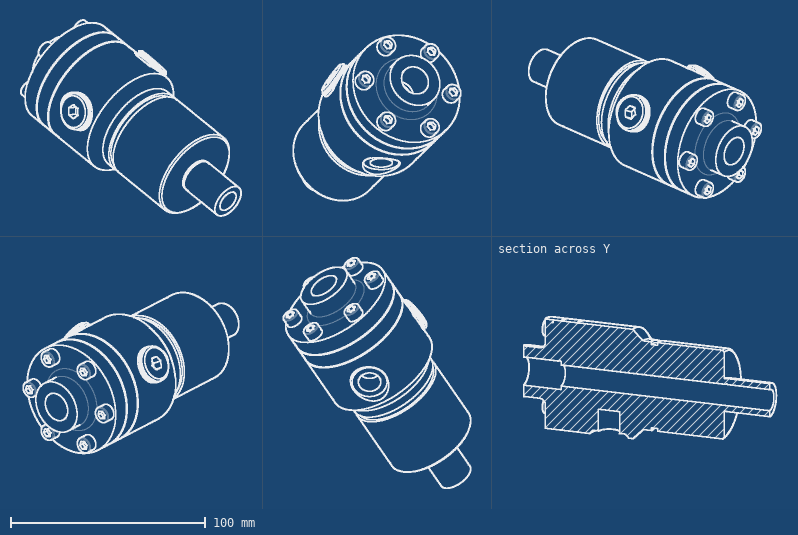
import cadquery as cq
import math

TOTAL_LENGTH = 136.6
HUB_SHOULDER_X = 8.9
FLANGE_X = 12.0
FIRST_SEAM_X = 20.9
SECOND_SEAM_X = 29.8
CONE_START_X = 60.7
CONE_END_X = 66.4
RING_GROOVE_START_X = 71.0
RING_GROOVE_END_X = 74.3
BODY_END_X = 111.3
NECK_LENGTH = 1.1

HUB_DIA = 27.5
HOUSING_DIA = 59.0
BARREL_DIA = 48.0
RING_GROOVE_DIA = 45.1
SHAFT_DIA = 18.0
NECK_DIA = 17.6
BARREL_CHAMFER = 1.0
SEAM_WIDTH = 0.4
SEAM_DEPTH = 0.1

INLET_DIA = 14.9
INLET_DEPTH = FIRST_SEAM_X
PASSAGE_DIA = 11.0

SCREW_COUNT = 6
SCREW_CIRCLE_RADIUS = 24.0
SCREW_HEAD_DIA = 8.5
SCREW_HEAD_HEIGHT = 4.9
SCREW_EDGE_RADIUS = 0.4
SCREW_SOCKET_FLATS = 4.1
SCREW_SOCKET_DEPTH = 2.5
SCREW_SOCKET_TURN = -15
SOCKET_DRILL_ANGLE = 118
FLAT_SOCKET_SCREWS = (0, 3)

PORT_X = 47.4
PORT_DIA = 11.5
PORT_DEPTH = 13.7
PORT_SEAT_OUTER_DIA = 22.0
PORT_SEAT_INNER_DIA = 18.0
PLUG_ELEVATIONS = (30, 150)
OPEN_PORT_ELEVATION = -90

PLUG_HEAD_DIA = 18.6
PLUG_WASHER_DIA = 19.0
PLUG_HEAD_TOP = 31.8
PLUG_CHAMFER = 1.1
PLUG_WAIST_DIA = 17.1
PLUG_WAIST_HEIGHT = 29.8
PLUG_WASHER_TOP = 29.2
PLUG_SOCKET_FLATS = 6.1
PLUG_SOCKET_DEPTH = 5.6

HOUSING_RADIUS = HOUSING_DIA / 2
BARREL_RADIUS = BARREL_DIA / 2
HUB_RADIUS = HUB_DIA / 2
PORT_SEAT_FLOOR = HOUSING_RADIUS - (PORT_SEAT_OUTER_DIA - PORT_SEAT_INNER_DIA) / 2


def hexagon_corner_diameter(across_flats):
    return across_flats / math.cos(math.radians(30))


def turned_body():
    """Hub, housing, barrel and shaft revolved about the X axis."""
    hub_fillet = FLANGE_X - HUB_SHOULDER_X
    arc_offset = hub_fillet * math.sin(math.radians(45))
    flare_radius = HUB_RADIUS + hub_fillet
    neck_end_x = BODY_END_X + NECK_LENGTH
    profile = (
        cq.Workplane("XY")
        .lineTo(0, HUB_RADIUS)
        .lineTo(HUB_SHOULDER_X, HUB_RADIUS)
        .threePointArc(
            (HUB_SHOULDER_X + arc_offset, flare_radius - arc_offset),
            (FLANGE_X, flare_radius),
        )
        .lineTo(FLANGE_X, HOUSING_RADIUS)
        .lineTo(CONE_START_X, HOUSING_RADIUS)
        .lineTo(CONE_END_X, BARREL_RADIUS)
        .lineTo(RING_GROOVE_START_X, BARREL_RADIUS)
        .lineTo(RING_GROOVE_START_X, RING_GROOVE_DIA / 2)
        .lineTo(RING_GROOVE_END_X, RING_GROOVE_DIA / 2)
        .lineTo(RING_GROOVE_END_X, BARREL_RADIUS)
        .lineTo(BODY_END_X - BARREL_CHAMFER, BARREL_RADIUS)
        .lineTo(BODY_END_X, BARREL_RADIUS - BARREL_CHAMFER)
        .lineTo(BODY_END_X, NECK_DIA / 2)
        .lineTo(neck_end_x, NECK_DIA / 2)
        .lineTo(neck_end_x, SHAFT_DIA / 2)
        .lineTo(TOTAL_LENGTH, SHAFT_DIA / 2)
        .lineTo(TOTAL_LENGTH, 0)
        .close()
    )
    return profile.revolve(360, (0, 0, 0), (1, 0, 0))


def seam_groove(start_x):
    """Shallow ring marking the joint between two housing plates."""
    return (
        cq.Workplane("YZ", origin=(start_x, 0, 0))
        .circle(HOUSING_RADIUS + SEAM_DEPTH)
        .circle(HOUSING_RADIUS - SEAM_DEPTH)
        .extrude(SEAM_WIDTH)
    )


def axial_passage():
    passage = cq.Workplane("YZ").circle(PASSAGE_DIA / 2).extrude(TOTAL_LENGTH)
    inlet = cq.Workplane("YZ").circle(INLET_DIA / 2).extrude(INLET_DEPTH)
    return passage.union(inlet)


def screw_head():
    """Rounded cylindrical head on the flange face, centred on the X axis."""
    return (
        cq.Workplane("YZ", origin=(FLANGE_X - SCREW_HEAD_HEIGHT, 0, 0))
        .circle(SCREW_HEAD_DIA / 2)
        .extrude(SCREW_HEAD_HEIGHT)
        .faces("<X")
        .edges()
        .fillet(SCREW_EDGE_RADIUS)
    )


def screw_socket():
    socket = (
        cq.Workplane("YZ", origin=(FLANGE_X - SCREW_HEAD_HEIGHT, 0, 0))
        .polygon(6, hexagon_corner_diameter(SCREW_SOCKET_FLATS))
        .extrude(SCREW_SOCKET_DEPTH)
    )
    return socket.rotate((0, 0, 0), (1, 0, 0), SCREW_SOCKET_TURN)


def socket_drill_point():
    """Cone left by a drill below the hexagon of a screw socket."""
    floor_x = FLANGE_X - SCREW_HEAD_HEIGHT + SCREW_SOCKET_DEPTH
    cone_radius = SCREW_SOCKET_FLATS / 2
    cone_height = cone_radius / math.tan(math.radians(SOCKET_DRILL_ANGLE / 2))
    cone = cq.Solid.makeCone(
        cone_radius, 0, cone_height, cq.Vector(floor_x, 0, 0), cq.Vector(1, 0, 0)
    )
    return cq.Workplane(obj=cone)


def socket_screw(screw_index):
    """One screw of the circle; all sockets share the same hexagon direction."""
    screw = screw_head().cut(screw_socket())
    if screw_index not in FLAT_SOCKET_SCREWS:
        screw = screw.cut(socket_drill_point())
    angle = math.radians(screw_index * 360 / SCREW_COUNT)
    return screw.translate(
        (0, SCREW_CIRCLE_RADIUS * math.cos(angle), SCREW_CIRCLE_RADIUS * math.sin(angle))
    )


def place_at_port(solid, elevation):
    """Turn a solid built along +Z about X to an elevation from +Y, then move it to the ports."""
    return solid.rotate((0, 0, 0), (1, 0, 0), elevation - 90).translate((PORT_X, 0, 0))


def port_seat():
    """Flat-bottomed conical seat, continued at 45 degrees beyond the housing surface."""
    overshoot = 1.4
    outer_radius = PORT_SEAT_OUTER_DIA / 2 + overshoot
    profile = (
        cq.Workplane("XZ")
        .moveTo(0, PORT_SEAT_FLOOR)
        .lineTo(PORT_SEAT_INNER_DIA / 2, PORT_SEAT_FLOOR)
        .lineTo(outer_radius, HOUSING_RADIUS + overshoot)
        .lineTo(0, HOUSING_RADIUS + overshoot)
        .close()
    )
    return profile.revolve(360, (0, 0, 0), (0, 1, 0))


def port_bore():
    bore_bottom = HOUSING_RADIUS - PORT_DEPTH
    return (
        cq.Workplane("XY", origin=(0, 0, bore_bottom))
        .circle(PORT_DIA / 2)
        .extrude(PORT_DEPTH)
    )


def port_plug():
    """Chamfered plug head on a sealing washer, with a hexagon socket."""
    head_radius = PLUG_HEAD_DIA / 2
    washer_radius = PLUG_WASHER_DIA / 2
    waist_radius = PLUG_WAIST_DIA / 2
    undercut = head_radius - waist_radius
    profile = (
        cq.Workplane("XZ")
        .moveTo(0, PORT_SEAT_FLOOR)
        .lineTo(PORT_SEAT_INNER_DIA / 2, PORT_SEAT_FLOOR)
        .lineTo(washer_radius, PORT_SEAT_FLOOR + (PLUG_WASHER_DIA - PORT_SEAT_INNER_DIA) / 2)
        .lineTo(washer_radius, PLUG_WASHER_TOP)
        .lineTo(waist_radius, PLUG_WASHER_TOP)
        .lineTo(waist_radius, PLUG_WAIST_HEIGHT)
        .lineTo(head_radius, PLUG_WAIST_HEIGHT + undercut)
        .lineTo(head_radius, PLUG_HEAD_TOP - PLUG_CHAMFER)
        .lineTo(head_radius - PLUG_CHAMFER, PLUG_HEAD_TOP)
        .lineTo(0, PLUG_HEAD_TOP)
        .close()
    )
    return profile.revolve(360, (0, 0, 0), (0, 1, 0))


def plug_socket():
    return (
        cq.Workplane("XY", origin=(0, 0, PLUG_HEAD_TOP - PLUG_SOCKET_DEPTH))
        .polygon(6, hexagon_corner_diameter(PLUG_SOCKET_FLATS))
        .extrude(PLUG_SOCKET_DEPTH)
    )


result = turned_body()

for seam_x in (FIRST_SEAM_X, SECOND_SEAM_X):
    result = result.cut(seam_groove(seam_x))

for screw_index in range(SCREW_COUNT):
    result = result.union(socket_screw(screw_index))

for plug_elevation in PLUG_ELEVATIONS:
    result = result.cut(place_at_port(port_seat(), plug_elevation))
    result = result.union(place_at_port(port_plug(), plug_elevation))
    result = result.cut(place_at_port(plug_socket(), plug_elevation))

open_port = port_seat().union(port_bore())
result = result.cut(place_at_port(open_port, OPEN_PORT_ELEVATION))

result = result.cut(axial_passage())